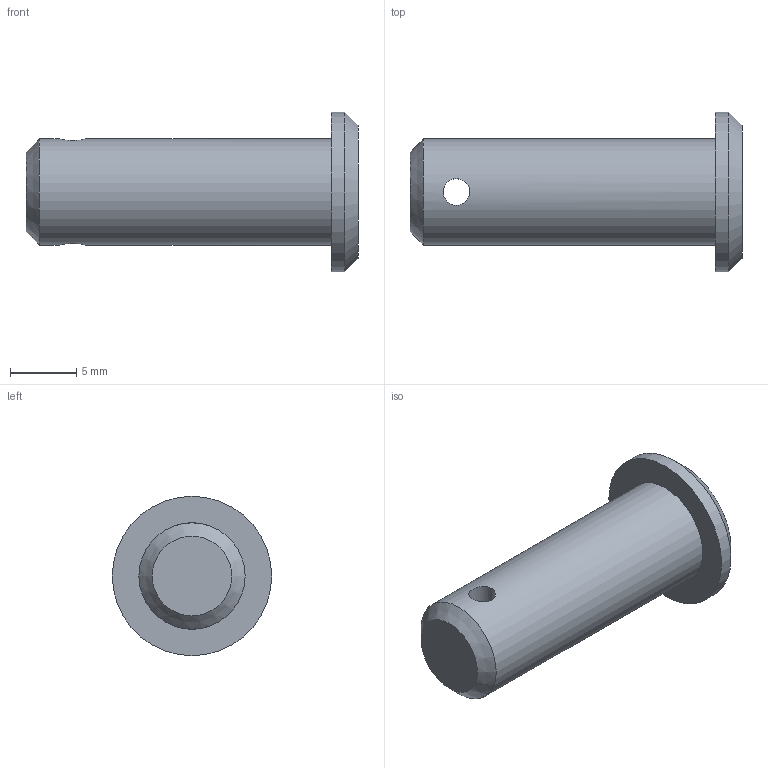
import cadquery as cq

overall_length = 25.0
shank_diameter = 8.0
head_diameter = 12.0
head_thickness = 2.0
chamfer_size = 1.0

hole_diameter = 2.0
hole_distance_from_tip = 3.5

shank_length = overall_length - head_thickness


def cylinder_along_x(start_x, length, diameter):
    """Solid cylinder on the X axis, running towards +X."""
    return cq.Workplane("YZ", origin=(start_x, 0, 0)).circle(diameter / 2).extrude(length)


def make_shank():
    """Shank with a chamfered tip at x = 0."""
    shank = cylinder_along_x(0, shank_length, shank_diameter)
    return shank.faces("<X").edges().chamfer(chamfer_size)


def make_head():
    """Flat head with a chamfered outer rim."""
    head = cylinder_along_x(shank_length, head_thickness, head_diameter)
    return head.faces(">X").edges().chamfer(chamfer_size)


def make_cross_hole():
    """Cutter passing right through the shank along Z."""
    plane = cq.Workplane("XY", origin=(hole_distance_from_tip, 0, 0))
    return plane.circle(hole_diameter / 2).extrude(shank_diameter, both=True)


result = make_shank().union(make_head()).cut(make_cross_hole())